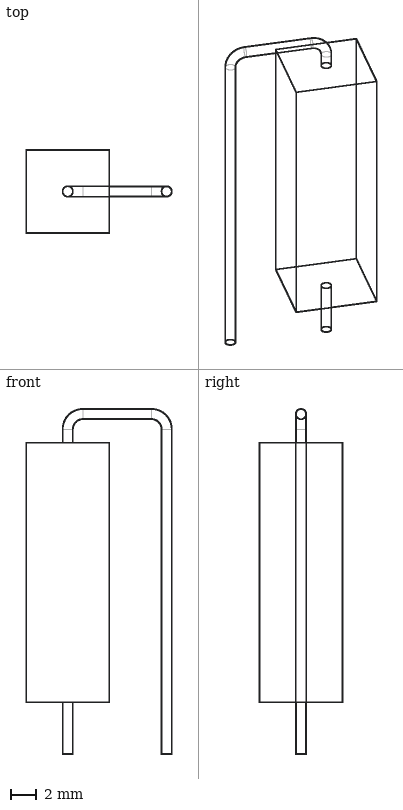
import cadquery as cq

total_height = 26.6
total_length = 11.23
body_width = 6.4
body_height = 20.0
body_bottom = 4.0

wire_diameter = 0.8
bend_radius = 1.17

wire_radius = wire_diameter / 2
lead_pitch = total_length - body_width / 2 - wire_radius
crest_height = total_height - wire_radius
bend_start = crest_height - bend_radius


def make_body():
    """Square block standing clear of the lower wire ends."""
    return (
        cq.Workplane("XY", origin=(0, 0, body_bottom))
        .rect(body_width, body_width)
        .extrude(body_height)
    )


def make_wire():
    """Round wire swept along a path with two quarter-circle bends."""
    path = (
        cq.Workplane("XZ")
        .moveTo(0, 0)
        .lineTo(0, bend_start)
        .tangentArcPoint((bend_radius, crest_height), relative=False)
        .lineTo(lead_pitch - bend_radius, crest_height)
        .tangentArcPoint((lead_pitch, bend_start), relative=False)
        .lineTo(lead_pitch, 0)
    )
    return cq.Workplane("XY").circle(wire_radius).sweep(path)


result = make_body().union(make_wire())